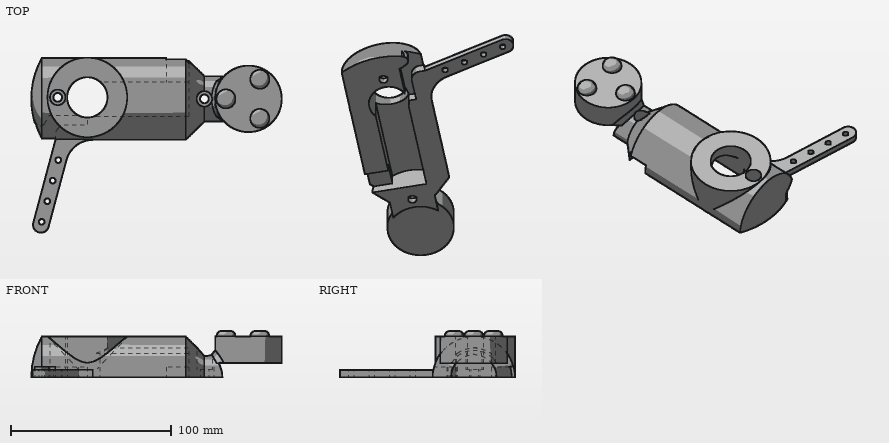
import cadquery as cq
import math


BODY_RADIUS = 25.7
DOME_TIP_X = -35.1
DOME_RIM_X = -28.4
SHOULDER_X = 61.4
NECK_X = 73.2
NECK_RADIUS = 14.3

RING_Y = 1.0
RING_RADIUS = 24.9
RING_BORE_RADIUS = 12.5

DISC_X = 100.7
DISC_RADIUS = 20.8
DISC_BOTTOM_Z = 9.0
NECK_TRIM_CLEARANCE = 0.8
EDGE_MARGIN = 0.2
NECK_CHAMFER_ON_DISC = 2.8
NECK_CHAMFER_ON_NECK = 2.2

BUTTON_COUNT = 3
BUTTON_START_ANGLE = 60
BUTTON_CIRCLE_RADIUS = 14.1
BUTTON_RADIUS = 6.0
BUTTON_HEIGHT = 3.5
BUTTON_ROUNDING = 3.3

ARM_ANGLE = math.radians(75)
ARM_TIP_X = -29.0
ARM_TIP_Y = -78.6
ARM_HALF_WIDTH = 5.0
ARM_THICKNESS = 4.7
ARM_BLEND_RADIUS = 16.9
ARM_HOLE_RADIUS = 1.7
ARM_HOLE_COUNT = 4
ARM_HOLE_PITCH = 13.3
ARM_FIRST_HOLE = 1.9

SCREW_RADIUS = 2.7
SCREW_HEAD_RADIUS = 4.9
SCREW_SEAT_Z = 5.0
RING_SCREW_X = -18.5

CAVITY_HALF_WIDTH = 10.8
CAVITY_CEILING_RADIUS = 18.5

NOTCH_START_X = 49.2
NOTCH_END_X = 63.5
NOTCH_HEIGHT = 6.6

CHANNEL_HEIGHT = 6.6
NOSE_X = -29.6
NOSE_Y = -13.5
NOSE_RADIUS = 3.3
SLANT_ANGLE = math.radians(60)
CHANNEL_BACK_X = -24.0
CHANNEL_FRONT_Y = -16.3
CHANNEL_MOUTH_X = -20.0
CHANNEL_CORNER_RADIUS = 6.0


def upright_cylinder(x, y, radius, bottom, top):
    return cq.Workplane("XY", origin=(x, y, bottom)).circle(radius).extrude(top - bottom)


def make_body_with_disc():
    """Half-turned body whose neck runs into the raised disc with a chamfered joint."""
    dome_depth = DOME_RIM_X - DOME_TIP_X
    dome_radius = (BODY_RADIUS**2 + dome_depth**2) / (2 * dome_depth)
    half_turn = (
        cq.Workplane("XY")
        .moveTo(DOME_TIP_X, 0)
        .radiusArc((DOME_RIM_X, BODY_RADIUS), dome_radius)
        .lineTo(SHOULDER_X, BODY_RADIUS)
        .lineTo(NECK_X, NECK_RADIUS)
        .lineTo(DISC_X, NECK_RADIUS)
        .lineTo(DISC_X, 0)
        .close()
        .revolve(180, (0, 0, 0), (1, 0, 0))
    )
    trim = upright_cylinder(DISC_X, 0, DISC_RADIUS + NECK_TRIM_CLEARANCE, 0, DISC_BOTTOM_Z)
    disc = upright_cylinder(DISC_X, 0, DISC_RADIUS, DISC_BOTTOM_Z, BODY_RADIUS)
    joined = half_turn.union(disc)

    joint_box = cq.selectors.BoxSelector(
        (NECK_X, -NECK_RADIUS, DISC_BOTTOM_Z + EDGE_MARGIN),
        (DISC_X, NECK_RADIUS, NECK_RADIUS + EDGE_MARGIN),
    )
    return joined.edges(joint_box).chamfer(NECK_CHAMFER_ON_NECK, NECK_CHAMFER_ON_DISC).cut(trim)


def make_buttons():
    button = upright_cylinder(0, 0, BUTTON_RADIUS, 0, BUTTON_HEIGHT)
    button = button.faces(">Z").edges().fillet(BUTTON_ROUNDING).val()
    return (
        cq.Workplane("XY", origin=(DISC_X, 0, BODY_RADIUS))
        .polarArray(BUTTON_CIRCLE_RADIUS, BUTTON_START_ANGLE, 360, BUTTON_COUNT, rotate=False)
        .eachpoint(lambda place: button.moved(place), combine="a")
    )


def make_arm():
    """Round-ended strip that blends into the -Y side of the body, with its row of holes."""
    along = cq.Vector(math.cos(ARM_ANGLE), math.sin(ARM_ANGLE))
    across = cq.Vector(along.y, -along.x)
    tip = cq.Vector(ARM_TIP_X, ARM_TIP_Y)
    tip_left = tip - across * ARM_HALF_WIDTH
    tip_right = tip + across * ARM_HALF_WIDTH
    tip_end = tip - along * ARM_HALF_WIDTH

    blend_y = -BODY_RADIUS - ARM_BLEND_RADIUS
    blend_offset = ARM_HALF_WIDTH + ARM_BLEND_RADIUS
    blend_reach = (blend_y - tip.y - across.y * blend_offset) / along.y
    blend_center = tip + across * blend_offset + along * blend_reach
    blend_start = blend_center - across * ARM_BLEND_RADIUS
    blend_end = blend_center + cq.Vector(0, ARM_BLEND_RADIUS)
    blend_bisector = (cq.Vector(0, 1) - across).normalized()
    blend_middle = blend_center + blend_bisector * ARM_BLEND_RADIUS

    root_left = tip_left + along * ((CHANNEL_FRONT_Y - CHANNEL_CORNER_RADIUS - tip_left.y) / along.y)
    outline = (
        cq.Workplane("XY")
        .moveTo(tip_left.x, tip_left.y)
        .threePointArc(tip_end.toTuple()[:2], tip_right.toTuple()[:2])
        .lineTo(blend_start.x, blend_start.y)
        .threePointArc(blend_middle.toTuple()[:2], blend_end.toTuple()[:2])
        .lineTo(blend_end.x, root_left.y)
        .lineTo(root_left.x, root_left.y)
        .close()
    )
    arm = outline.extrude(ARM_THICKNESS)
    for index in range(ARM_HOLE_COUNT):
        hole = tip + along * (ARM_FIRST_HOLE + index * ARM_HOLE_PITCH)
        arm = arm.cut(upright_cylinder(hole.x, hole.y, ARM_HOLE_RADIUS, 0, ARM_THICKNESS))
    return arm


def make_screw_hole(x, y):
    shank = upright_cylinder(x, y, SCREW_RADIUS, 0, BODY_RADIUS)
    head = upright_cylinder(x, y, SCREW_HEAD_RADIUS, SCREW_SEAT_Z, BODY_RADIUS)
    return shank.union(head)


def make_cavity():
    """Hollow from the ring axis to just past the shoulder, with the notch that opens it to the +Y side."""
    ceiling = cq.Workplane("YZ").circle(CAVITY_CEILING_RADIUS).extrude(NOTCH_END_X)
    sides = cq.Workplane("XY").box(
        NOTCH_END_X, 2 * CAVITY_HALF_WIDTH, CAVITY_CEILING_RADIUS, centered=(False, True, False)
    )
    notch = cq.Workplane("XY", origin=(NOTCH_START_X, 0, 0)).box(
        NOTCH_END_X - NOTCH_START_X, BODY_RADIUS, NOTCH_HEIGHT, centered=False
    )
    return ceiling.intersect(sides).union(notch)


def make_channel():
    """Channel that passes a rounded nose and a rounded corner, then runs along X to the bore."""
    slant = cq.Vector(math.cos(SLANT_ANGLE), math.sin(SLANT_ANGLE))
    nose = cq.Vector(NOSE_X, NOSE_Y)
    nose_end = nose + cq.Vector(slant.y, -slant.x) * NOSE_RADIUS
    back_y = nose_end.y + (CHANNEL_BACK_X - nose_end.x) * math.tan(SLANT_ANGLE)
    corner_end_x = CHANNEL_MOUTH_X + CHANNEL_CORNER_RADIUS
    corner_start_y = CHANNEL_FRONT_Y - CHANNEL_CORNER_RADIUS
    return (
        cq.Workplane("XY")
        .moveTo(NOSE_X - NOSE_RADIUS, -BODY_RADIUS)
        .lineTo(NOSE_X - NOSE_RADIUS, NOSE_Y)
        .threePointArc((NOSE_X, NOSE_Y - NOSE_RADIUS), (nose_end.x, nose_end.y))
        .lineTo(CHANNEL_BACK_X, back_y)
        .lineTo(0, back_y)
        .lineTo(0, CHANNEL_FRONT_Y)
        .lineTo(corner_end_x, CHANNEL_FRONT_Y)
        .radiusArc((CHANNEL_MOUTH_X, corner_start_y), -CHANNEL_CORNER_RADIUS)
        .lineTo(CHANNEL_MOUTH_X, -BODY_RADIUS)
        .close()
        .extrude(CHANNEL_HEIGHT)
    )


ring = upright_cylinder(0, RING_Y, RING_RADIUS, 0, BODY_RADIUS)
ring_bore = upright_cylinder(0, RING_Y, RING_BORE_RADIUS, 0, BODY_RADIUS)

result = (
    make_body_with_disc()
    .union(ring)
    .cut(make_channel())
    .union(make_arm())
    .union(make_buttons())
    .cut(ring_bore)
    .cut(make_cavity())
    .cut(make_screw_hole(RING_SCREW_X, RING_Y))
    .cut(make_screw_hole(NECK_X, 0))
)